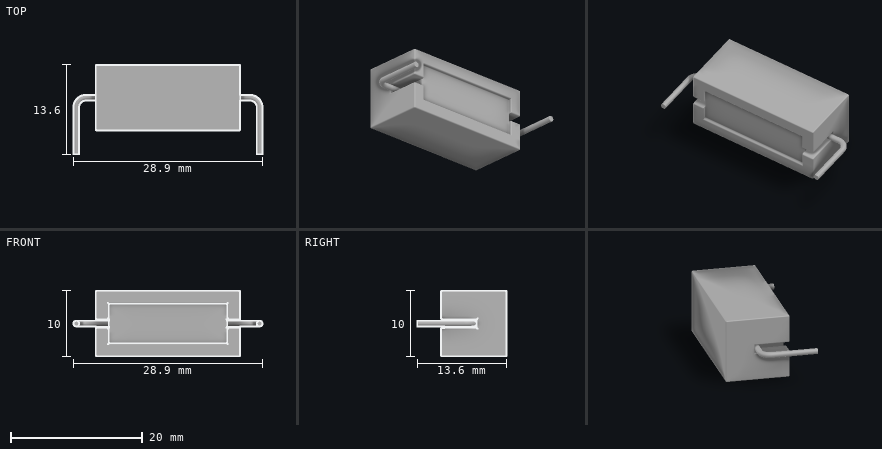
import cadquery as cq
import math

overall_length = 28.85

housing_length = 22.0
housing_side = 10.0
wall = 2.0
edge_round = 0.187

pocket_depth = 0.5
pocket_floor_round = 0.1

wire_diameter = 0.9
wire_radius = wire_diameter / 2
bend_radius = 1.5
lead_reach = 8.62

slot_height = 1.3
slot_back_y = wire_radius

front_y = -housing_side / 2
pocket_length = housing_length - 2 * wall
pocket_height = housing_side - 2 * wall
lead_x = overall_length / 2 - wire_radius


def block_from_front(length, depth, height):
    """Block centred in X and Z that runs from the front face of the housing toward +Y."""
    return cq.Workplane("XY").box(length, depth, height).translate((0, front_y + depth / 2, 0))


def make_slot(side):
    """Slot that cuts one end wall from the front; side is -1 or +1 along X."""
    slot = block_from_front(wall, slot_back_y - front_y, slot_height)
    return slot.translate((side * (housing_length - wall) / 2, 0, 0))


def make_lead_wire():
    """Straight wire through the housing, with both ends bent toward the front (-Y)."""
    bend_start_x = lead_x - bend_radius
    half_bend = math.radians(45)
    bend_middle_x = bend_start_x + bend_radius * math.sin(half_bend)
    bend_middle_y = bend_radius * math.cos(half_bend) - bend_radius
    path = (
        cq.Workplane("XY")
        .moveTo(-lead_x, -lead_reach)
        .lineTo(-lead_x, -bend_radius)
        .threePointArc((-bend_middle_x, bend_middle_y), (-bend_start_x, 0))
        .lineTo(bend_start_x, 0)
        .threePointArc((bend_middle_x, bend_middle_y), (lead_x, -bend_radius))
        .lineTo(lead_x, -lead_reach)
    )
    wire_end = cq.Workplane("XZ", origin=(-lead_x, -lead_reach, 0))
    return wire_end.circle(wire_radius).sweep(path)


def make_housing(lead_wire):
    """Rounded block with a pocket, two lead slots and a bore that fits the wire."""
    block = cq.Workplane("XY").box(housing_length, housing_side, housing_side)
    pocket = block_from_front(pocket_length, pocket_depth, pocket_height)
    pocket = pocket.faces(">Y").edges().fillet(pocket_floor_round)
    slot_band = block_from_front(housing_length, pocket_depth, slot_height)
    body = block.cut(pocket).cut(slot_band)
    for side in (-1, 1):
        body = body.cut(make_slot(side))
    body = body.faces("<X or >X or <Y or >Y or <Z or >Z").edges().fillet(edge_round)
    return body.cut(lead_wire).solids()


lead_wire = make_lead_wire()
housing = make_housing(lead_wire)

result = cq.Compound.makeCompound([housing.val(), lead_wire.val()])